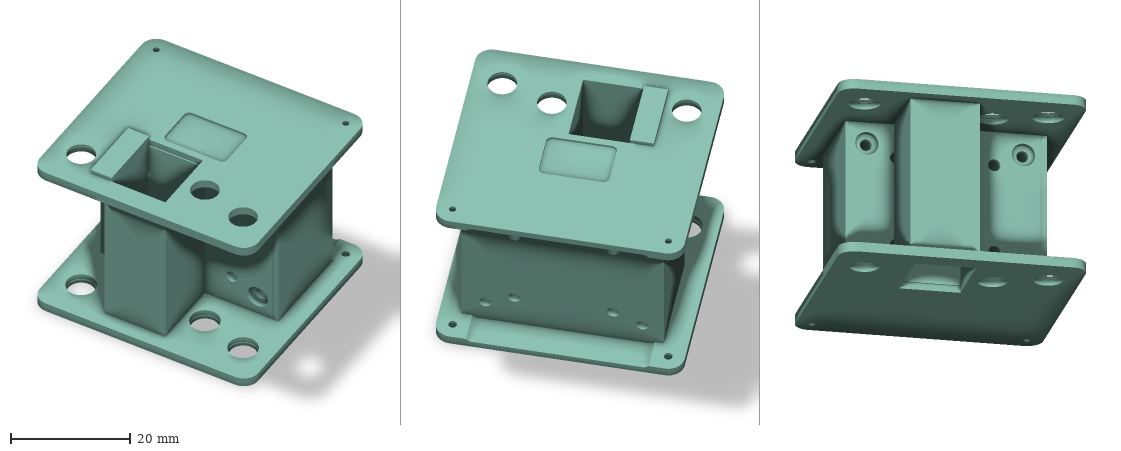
import cadquery as cq

PLATE_X = 42.55
PLATE_Y = 39.33
PLATE_CORNER_R = 2.8
STACK_Z = 30.8
SKIN = 0.7
PLATE_T = 1.7
SLOT_DEPTH = 0.5
MID_Z = STACK_Z / 2
GAP_Z = STACK_Z - 2 * PLATE_T
BACK_Y = PLATE_Y / 2

SLEEVE_LEFT = -17.15
SLEEVE_RIGHT = 17.5
FRONT_Y = -3.75
SLEEVE_BACK_Y = 6.1

INSERT_BACK_Y = 14.15
CORE_X = 33.62
TAIL_X = 31.9
CORE_Z = GAP_Z + 2 * SLOT_DEPTH
CORE_CORNER_R = 1.4
FACE_X = 32.5
REBATE_DEPTH = 0.1
SCREW_PITCH_X = 26.9
SCREW_PITCH_Z = 20.0
SCREW_D = 2.0
SCREW_HEAD_D = 4.0
SCREW_HEAD_DEPTH = 1.0
PIN_PITCH_X = 16.85
PIN_PITCH_Z = 15.5
PIN_D = 2.1

DUCT_LEFT = -8.75
DUCT_RIGHT = 3.15
DUCT_FRONT_Y = -16.75
WINDOW_LEFT = -7.85
WINDOW_RIGHT = 2.65
WINDOW_FRONT_Y = -15.9
WINDOW_BACK_Y = -3.5

TAB_LEFT = -11.95
TAB_T = 0.75

POCKET_X = 12.1
POCKET_Y = 8.25
POCKET_CENTER_Y = 1.87
POCKET_CORNER_R = 1.02
POCKET_DEPTH = 0.43

PORT_D = 5.0
PORT_INNER_D = 5.3
PORT_POINTS = [(-15.8, -12.5), (15.8, -12.5), (6.75, -9.85)]
MOUNT_D = 1.2
MOUNT_INNER_D = 1.45
MOUNT_POINTS = [(-18.45, 16.85), (18.45, 16.85)]


def block(x0, x1, y0, y1, z0, z1):
    """Box between two opposite corners."""
    return cq.Workplane("XY").box(x1 - x0, y1 - y0, z1 - z0, centered=False).translate((x0, y0, z0))


def plate(bottom_z):
    """Rounded plate whose lower face is at bottom_z."""
    slab = cq.Workplane("XY").box(PLATE_X, PLATE_Y, PLATE_T, centered=(True, True, False))
    return slab.edges("|Z").fillet(PLATE_CORNER_R).translate((0, 0, bottom_z))


def upright_holes(points, diameter, z0, z1):
    """Vertical cylinders at points, from z0 to z1."""
    return cq.Workplane("XY", origin=(0, 0, z0)).pushPoints(points).circle(diameter / 2).extrude(z1 - z0)


def core_bar(width, y0, y1):
    """Bar along Y with rounded long edges, tall enough to sink into the slots of both plates."""
    bar = block(-width / 2, width / 2, y0, y1, MID_Z - CORE_Z / 2, MID_Z + CORE_Z / 2)
    return bar.edges("|Y").fillet(CORE_CORNER_R)


def cross_holes(pitch_x, pitch_z, diameter, y0, y1):
    """Four cylinders along Y on a rectangular pattern, from y0 to y1."""
    return (
        cq.Workplane("XZ", origin=(0, y0, MID_Z))
        .rarray(pitch_x, pitch_z, 2, 2)
        .circle(diameter / 2)
        .extrude(y0 - y1)
    )


def make_housing():
    inner_z = PLATE_T
    outer_z = STACK_Z - PLATE_T
    body = plate(0).union(plate(outer_z))
    body = body.union(block(SLEEVE_LEFT, SLEEVE_RIGHT, FRONT_Y, SLEEVE_BACK_Y, inner_z, outer_z))
    body = body.union(block(DUCT_LEFT, DUCT_RIGHT, DUCT_FRONT_Y, FRONT_Y, inner_z, outer_z))
    body = body.union(block(TAB_LEFT, WINDOW_LEFT, WINDOW_FRONT_Y, WINDOW_BACK_Y, STACK_Z, STACK_Z + TAB_T))

    body = body.cut(core_bar(CORE_X, FRONT_Y, SLEEVE_BACK_Y))
    body = body.cut(core_bar(TAIL_X, SLEEVE_BACK_Y, BACK_Y))

    body = body.cut(block(WINDOW_LEFT, WINDOW_RIGHT, WINDOW_FRONT_Y, FRONT_Y, 0, STACK_Z))
    web = PLATE_T - SLOT_DEPTH
    for z0 in (0, STACK_Z - web):
        body = body.cut(block(WINDOW_LEFT, WINDOW_RIGHT, FRONT_Y, WINDOW_BACK_Y, z0, z0 + web))

    pocket = block(
        -POCKET_X / 2,
        POCKET_X / 2,
        POCKET_CENTER_Y - POCKET_Y / 2,
        POCKET_CENTER_Y + POCKET_Y / 2,
        STACK_Z - POCKET_DEPTH,
        STACK_Z,
    )
    body = body.cut(pocket.edges("|Z").fillet(POCKET_CORNER_R))

    for points, diameter, inner_diameter in (
        (PORT_POINTS, PORT_D, PORT_INNER_D),
        (MOUNT_POINTS, MOUNT_D, MOUNT_INNER_D),
    ):
        body = body.cut(upright_holes(points, diameter, 0, STACK_Z))
        body = body.cut(upright_holes(points, inner_diameter, SKIN, STACK_Z - SKIN))
    return body


def make_insert():
    flange = block(SLEEVE_LEFT, SLEEVE_RIGHT, SLEEVE_BACK_Y, INSERT_BACK_Y, PLATE_T, STACK_Z - PLATE_T)
    core = core_bar(CORE_X, FRONT_Y, SLEEVE_BACK_Y)
    tail = core_bar(TAIL_X, SLEEVE_BACK_Y, INSERT_BACK_Y)
    body = core.union(tail).union(flange)

    for x0, x1 in ((-CORE_X / 2, -FACE_X / 2), (FACE_X / 2, CORE_X / 2)):
        body = body.cut(block(x0, x1, FRONT_Y, FRONT_Y + REBATE_DEPTH, 0, STACK_Z))

    body = body.cut(cross_holes(SCREW_PITCH_X, SCREW_PITCH_Z, SCREW_D, FRONT_Y, INSERT_BACK_Y))
    head_back_y = FRONT_Y + SCREW_HEAD_DEPTH
    body = body.cut(cross_holes(SCREW_PITCH_X, SCREW_PITCH_Z, SCREW_HEAD_D, FRONT_Y, head_back_y))
    return body.cut(cross_holes(PIN_PITCH_X, PIN_PITCH_Z, PIN_D, FRONT_Y, INSERT_BACK_Y))


housing = make_housing()
insert = make_insert()
result = cq.Compound.makeCompound([housing.val(), insert.val()])